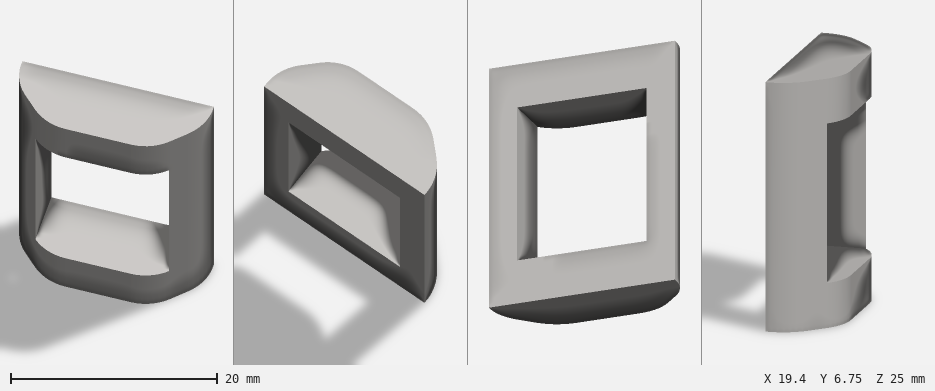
import math

import cadquery as cq

width = 19.4
depth = 6.75
height = 25.0

corner_cut = 4.32
corner_angle = math.radians(45)
blend_radius = 5.0

window_width = 13.5
border_height = 4.5
window_height = height - 2 * border_height


def make_body():
    """Upright bar with a flat back at Y = 0 and a rounded front at Y = -depth."""
    tangent_length = blend_radius * math.tan(corner_angle / 2)
    tangent_offset = tangent_length * math.cos(corner_angle)
    half_width = width / 2
    front_corner_x = half_width - corner_cut
    side_corner_y = corner_cut - depth

    side_center_x = half_width - blend_radius
    side_center_y = side_corner_y + tangent_length
    back_x = side_center_x + math.sqrt(blend_radius**2 - side_center_y**2)

    side_x = half_width - tangent_offset
    side_y = side_corner_y - tangent_offset
    front_x = front_corner_x + tangent_offset
    front_y = tangent_offset - depth
    flat_x = front_corner_x - tangent_length

    return (
        cq.Workplane("XY")
        .moveTo(-back_x, 0)
        .radiusArc((-side_x, side_y), -blend_radius)
        .lineTo(-front_x, front_y)
        .radiusArc((-flat_x, -depth), -blend_radius)
        .lineTo(flat_x, -depth)
        .radiusArc((front_x, front_y), -blend_radius)
        .lineTo(side_x, side_y)
        .radiusArc((back_x, 0), -blend_radius)
        .close()
        .extrude(height)
    )


def make_window():
    """Block that cuts the window through the full depth."""
    return cq.Workplane("XY").box(window_width, 2 * depth, window_height).translate((0, 0, height / 2))


result = make_body().cut(make_window())